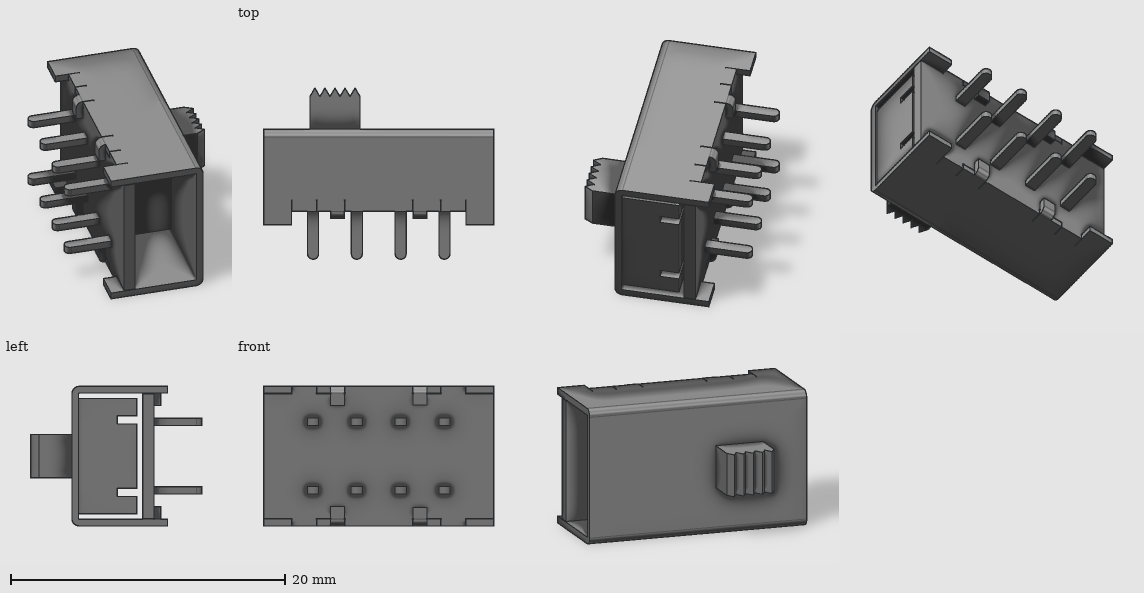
import cadquery as cq


length = 16.8
height = 10.2
sheet = 0.5
inner_bend_radius = 0.05
shell_depth = 6.99
foot_length = 2.05

plate_back_depth = 5.15
plate_front_depth = 6.0
clearance = 0.05
foot_clearance = 0.008

tab_base_start = 2.5
tab_base_length = 2.0
tab_width = 1.0
left_tab_reach = 1.41
right_tab_reach = 1.36

pin_pitch = 3.2
pin_columns = 4
pin_row_spacing = 4.99
pin_width = 0.82
pin_thickness = 0.54
pin_tip_depth = 9.5

slider_length = 10.08
slider_height = 8.43
slider_depth = 4.74
slider_x = -pin_pitch
groove_top_depth = 3.33
groove_width = 0.59
groove_spacing = 5.28
knob_width = 3.66
knob_height = 3.15
knob_rise = 3.0
tooth_count = 5
tooth_depth = 0.62

half_length = length / 2
half_height = height / 2
inner_half_height = half_height - sheet
foot_start = half_length - foot_length
tab_base_end = tab_base_start + tab_base_length


def box(x_range, depth_range, z_range):
    """Box between two X values, two depths behind the front wall and two Z values."""
    x0, x1 = x_range
    depth0, depth1 = depth_range
    z0, z1 = z_range
    block = cq.Workplane("XY").box(x1 - x0, depth1 - depth0, z1 - z0, centered=False)
    return block.translate((x0, -depth1, z0))


def mirrored(shape, plane):
    """The shape together with its mirror image."""
    return shape.union(shape.mirror(plane))


def make_shell():
    """U-shaped channel whose walls stop at the plate, except at the feet and the tab bases."""
    inside = (
        box((-half_length, half_length), (sheet, shell_depth), (-inner_half_height, inner_half_height))
        .edges("|X and >Y")
        .fillet(inner_bend_radius)
    )
    channel = (
        box((-half_length, half_length), (0, shell_depth), (-half_height, half_height))
        .edges("|X and >Y")
        .fillet(sheet + inner_bend_radius)
        .cut(inside)
    )
    notch = box((-foot_start, foot_start), (plate_back_depth, shell_depth), (-half_height, half_height))
    wall_z = (inner_half_height, half_height)
    right_base = box((tab_base_start, tab_base_end), (plate_back_depth, plate_front_depth), wall_z)
    bases = mirrored(mirrored(right_base, "YZ"), "XY")
    return channel.cut(notch).union(bases)


def make_tab(x_start, reach):
    """Tab bent over the front of the plate, at the top wall."""
    return (
        cq.Workplane("YZ", origin=(x_start, 0, 0))
        .moveTo(-plate_back_depth, inner_half_height)
        .lineTo(-plate_back_depth, half_height)
        .lineTo(-plate_front_depth, half_height)
        .radiusArc((-plate_front_depth - sheet, inner_half_height), -sheet)
        .lineTo(-plate_front_depth - sheet, half_height - reach)
        .lineTo(-plate_front_depth, half_height - reach)
        .lineTo(-plate_front_depth, inner_half_height)
        .close()
        .extrude(tab_width)
    )


def make_tabs():
    """Two tabs on each of the two long walls."""
    left_tab = make_tab(-tab_base_start - tab_width, left_tab_reach)
    right_tab = make_tab(tab_base_start, right_tab_reach)
    return mirrored(left_tab.union(right_tab), "XY")


def make_plate():
    """Plate inside the shell, with wings that fill the wall notches around the tab bases."""
    depths = (plate_back_depth, plate_front_depth)
    plate_half_height = inner_half_height - clearance
    plate = box((-half_length, half_length), depths, (-plate_half_height, plate_half_height))
    gap_start = tab_base_start - clearance
    gap_end = tab_base_end + clearance
    wing_end = foot_start - foot_clearance
    for x_range in ((-wing_end, -gap_end), (-gap_start, gap_start), (gap_end, wing_end)):
        plate = plate.union(box(x_range, depths, (-half_height, half_height)))
    return plate


def make_pins():
    """Two rows of flat pins with round tips."""
    tip_radius = pin_width / 2
    straight_end = pin_tip_depth - tip_radius
    pin = (
        cq.Workplane("XY")
        .moveTo(-tip_radius, -plate_back_depth)
        .lineTo(-tip_radius, -straight_end)
        .threePointArc((0, -pin_tip_depth), (tip_radius, -straight_end))
        .lineTo(tip_radius, -plate_back_depth)
        .close()
        .extrude(pin_thickness / 2, both=True)
    )
    pins = cq.Workplane("XY")
    for column in range(pin_columns):
        x = (column - (pin_columns - 1) / 2) * pin_pitch
        for z in (-pin_row_spacing / 2, pin_row_spacing / 2):
            pins = pins.add(pin.translate((x, 0, z)))
    return pins.combine()


def make_slider():
    """Block behind the front wall with two lengthwise grooves."""
    x_range = (slider_x - slider_length / 2, slider_x + slider_length / 2)
    slider = box(x_range, (sheet, slider_depth), (-slider_height / 2, slider_height / 2))
    for z in (-groove_spacing / 2, groove_spacing / 2):
        groove_z = (z - groove_width / 2, z + groove_width / 2)
        slider = slider.cut(box(x_range, (groove_top_depth, slider_depth), groove_z))
    return slider


def make_knob():
    """Knob with a row of pointed teeth on its end."""
    tooth_pitch = knob_width / tooth_count
    left = slider_x - knob_width / 2
    valley_y = knob_rise - tooth_depth
    outline = cq.Workplane("XY").moveTo(left, -sheet).lineTo(left, valley_y)
    for tooth in range(tooth_count):
        tooth_left = left + tooth * tooth_pitch
        outline = outline.lineTo(tooth_left + tooth_pitch / 2, knob_rise)
        outline = outline.lineTo(tooth_left + tooth_pitch, valley_y)
    return outline.lineTo(left + knob_width, -sheet).close().extrude(knob_height / 2, both=True)


result = make_shell()
for component in (make_tabs(), make_plate(), make_pins(), make_slider(), make_knob()):
    result = result.union(component)